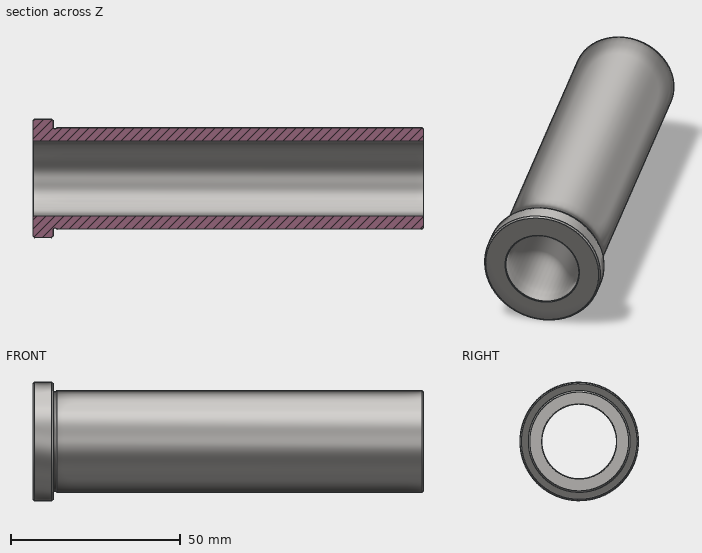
import cadquery as cq

length = 115.0
flange_diameter = 35.0
body_diameter = 30.0
bore_diameter = 22.0
flange_width = 6.0

flange_chamfer = 0.5
relief_width = 1.0
relief_depth = 0.3
end_chamfer = 0.5
bore_chamfer = 0.2

flange_radius = flange_diameter / 2
body_radius = body_diameter / 2
relief_radius = body_radius - relief_depth
relief_middle = flange_width + relief_width / 2
relief_end = flange_width + relief_width


def sleeve_body():
    """Revolve the flanged outline, with its rounded relief groove, about X."""
    outline = (
        cq.Workplane("XY")
        .moveTo(0, 0)
        .lineTo(0, flange_radius - flange_chamfer)
        .lineTo(flange_chamfer, flange_radius)
        .lineTo(flange_width - flange_chamfer, flange_radius)
        .lineTo(flange_width, flange_radius - flange_chamfer)
        .lineTo(flange_width, body_radius)
        .threePointArc((relief_middle, relief_radius), (relief_end, body_radius))
        .lineTo(length - end_chamfer, body_radius)
        .lineTo(length, body_radius - end_chamfer)
        .lineTo(length, 0)
        .close()
    )
    return outline.revolve(360, (0, 0, 0), (1, 0, 0))


def bore():
    """Through bore cutter, centred along X."""
    return cq.Workplane("YZ").circle(bore_diameter / 2).extrude(length)


def bore_mouth():
    """Cone that chamfers the bore at the flange face."""
    return cq.Workplane(
        cq.Solid.makeCone(
            bore_diameter / 2 + bore_chamfer,
            bore_diameter / 2,
            bore_chamfer,
            cq.Vector(0, 0, 0),
            cq.Vector(1, 0, 0),
        )
    )


result = sleeve_body().cut(bore()).cut(bore_mouth())
result = result.translate((-length / 2, 0, 0))